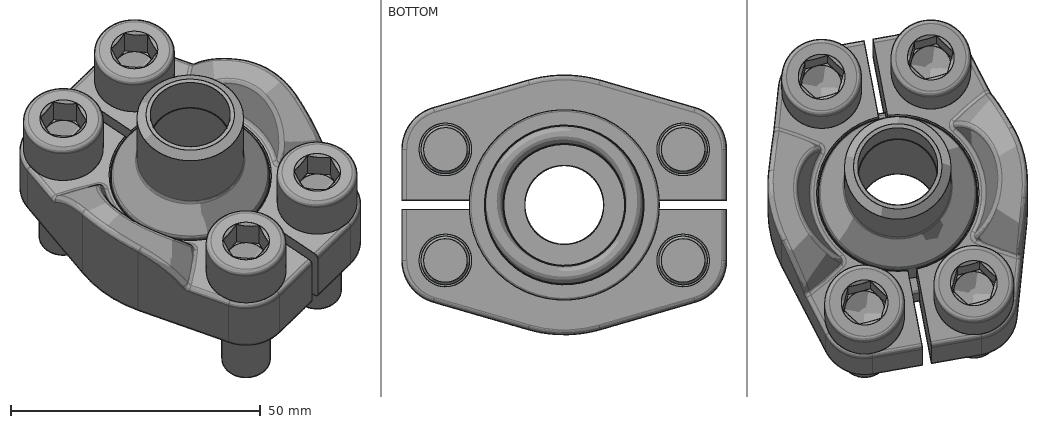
import cadquery as cq
import math

LENGTH = 65.0
DEPTH = 52.0
SPLIT_GAP = 1.8
CLAMP_HEIGHT = 14.0
BOLT_X = 23.8
BOLT_Y = 11.1
EDGE_RADIUS = 1.0
BOLT_HOLE_DIAMETER = 10.5
CLAMP_BORE_DIAMETER = 32.0
BORE_CHAMFER = 0.25

ARCH_PEAK = 22.4
ARCH_SECTIONS = [(11.7, 20.85, 12.1), (18.85, 21.65, 20.5), (DEPTH / 2, ARCH_PEAK, 27.05)]

CLEARANCE_FOOT_RADIUS = 17.5
CLEARANCE_DRAFT = 20.0

HEAD_DIAMETER = 38.1
HEAD_BOTTOM = -0.6
HEAD_TOP = 6.2
HEAD_LOWER_EDGE = 0.3
HEAD_UPPER_EDGE = 0.5
SHOULDER_DIAMETER = 31.6
SHOULDER_TOP = 14.25
NECK_DIAMETER = 21.3
NECK_TOP = 34.4
NECK_BLEND = 1.0
NECK_BORE_DIAMETER = 16.0
LOWER_BORE_DIAMETER = 15.7
UPPER_BORE_DEPTH = 8.45
WELD_BEVEL_WIDTH = 1.8
WELD_BEVEL_HEIGHT = 1.1

GROOVE_INNER_DIAMETER = 24.2
GROOVE_OUTER_DIAMETER = 32.0
SEAL_BOTTOM = -1.7
SEAL_OUTER_DIAMETER = 31.6
SEAL_THICKNESS = 3.5

SHANK_DIAMETER = 9.75
SHANK_LENGTH = 29.95
SHANK_CHAMFER = 0.5
SCREW_HEAD_DIAMETER = 16.0
SCREW_HEAD_HEIGHT = 10.0
SOCKET_WIDTH = 8.0
SOCKET_DEPTH = 6.0
SOCKET_TURN = 5.0
SOCKET_MOUTH_DIAMETER = 9.35
SOCKET_MOUTH_DEPTH = 0.4
SOCKET_POINT_ANGLE = 120.0

TOLERANCE = 0.005


def clamp_outline():
    """Half plan: corner arcs around the bolts, tangent to a central end arc."""
    end_radius = DEPTH / 2
    corner_radius = LENGTH / 2 - BOLT_X
    bolt_reach = math.hypot(BOLT_X, BOLT_Y)
    normal = math.atan2(BOLT_Y, BOLT_X) + math.acos((end_radius - corner_radius) / bolt_reach)
    corner_x = BOLT_X + corner_radius * math.cos(normal)
    corner_y = BOLT_Y + corner_radius * math.sin(normal)
    middle = normal / 2
    corner_middle = (BOLT_X + corner_radius * math.cos(middle), BOLT_Y + corner_radius * math.sin(middle))
    end_x = end_radius * math.cos(normal)
    end_y = end_radius * math.sin(normal)
    return (
        cq.Workplane("XY")
        .moveTo(LENGTH / 2, SPLIT_GAP / 2)
        .lineTo(LENGTH / 2, BOLT_Y)
        .threePointArc(corner_middle, (corner_x, corner_y))
        .lineTo(end_x, end_y)
        .threePointArc((0, end_radius), (-end_x, end_y))
        .lineTo(-corner_x, corner_y)
        .threePointArc((-corner_middle[0], corner_middle[1]), (-LENGTH / 2, BOLT_Y))
        .lineTo(-LENGTH / 2, SPLIT_GAP / 2)
        .close()
    )


def arch_barrel():
    """Barrel along Y lofted smoothly through the circular arch sections."""
    wires = []
    for y, crown, radius in ARCH_SECTIONS:
        section = cq.Workplane("XZ", origin=(0, y, crown - radius)).circle(radius)
        wires.append(section.wires().val())
    return cq.Workplane(cq.Solid.makeLoft(wires))


def neck_clearance():
    """Cone around Z that widens upward from the top of the clamp."""
    height = ARCH_PEAK
    spread = height * math.tan(math.radians(CLEARANCE_DRAFT))
    cone = cq.Solid.makeCone(CLEARANCE_FOOT_RADIUS, CLEARANCE_FOOT_RADIUS + spread, height)
    return cq.Workplane(cone).translate((0, 0, CLAMP_HEIGHT))


def below_clamp_top():
    """Block whose upper face lies in the top face of the clamp."""
    return cq.Workplane("XY").box(2 * LENGTH, 2 * DEPTH, 2 * CLAMP_HEIGHT)


def is_rounded_edge(edge):
    """True for the edges around the foot, the top face and the boss, away from the split face."""
    box = edge.BoundingBox()
    on_split_face = box.ymax < SPLIT_GAP / 2 + TOLERANCE
    at_foot = box.zmax < TOLERANCE
    at_top = box.zmin > CLAMP_HEIGHT - TOLERANCE
    return (at_foot or at_top) and not on_split_face


def clamp_bore():
    """Stepped opening for the neck: head recess, shoulder bore and a chamfered mouth."""
    recess = cq.Workplane("XY").circle(HEAD_DIAMETER / 2).extrude(HEAD_TOP)
    bore = cq.Workplane("XY").circle(CLAMP_BORE_DIAMETER / 2).extrude(CLAMP_HEIGHT)
    mouth_radius = CLAMP_BORE_DIAMETER / 2 + BORE_CHAMFER
    mouth = cq.Solid.makeCone(mouth_radius - BORE_CHAMFER, mouth_radius, BORE_CHAMFER)
    mouth = cq.Workplane(mouth).translate((0, 0, CLAMP_HEIGHT - BORE_CHAMFER))
    return recess.union(bore).union(mouth)


def make_clamp_half():
    """Clamp half on the +Y side of the split."""
    plate = clamp_outline().extrude(CLAMP_HEIGHT)
    boss = (
        clamp_outline()
        .extrude(ARCH_PEAK)
        .intersect(arch_barrel())
        .cut(neck_clearance())
        .cut(below_clamp_top())
    )
    half = plate.union(boss)
    rounded_edges = [edge for edge in half.edges().vals() if is_rounded_edge(edge)]
    half = half.newObject(rounded_edges).fillet(EDGE_RADIUS)
    holes = (
        cq.Workplane("XY")
        .pushPoints([(-BOLT_X, BOLT_Y), (BOLT_X, BOLT_Y)])
        .circle(BOLT_HOLE_DIAMETER / 2)
        .extrude(CLAMP_HEIGHT)
    )
    return half.cut(holes).cut(clamp_bore())


def fillet_circle(body, circle_radius, z, fillet_radius):
    """Round the circular edge of the given radius at the given height."""
    picked = []
    for edge in body.edges("%CIRCLE").vals():
        same_height = abs(edge.Center().z - z) < TOLERANCE
        same_radius = abs(edge.radius() - circle_radius) < TOLERANCE
        if same_height and same_radius:
            picked.append(edge)
    return body.newObject(picked).fillet(fillet_radius)


def make_neck():
    """Flanged weld neck turned about Z, with a two-step bore and a face groove for the seal."""
    shoulder_radius = SHOULDER_DIAMETER / 2
    neck_radius = NECK_DIAMETER / 2
    cone_top = SHOULDER_TOP + shoulder_radius - neck_radius
    body = (
        cq.Workplane("XZ")
        .moveTo(0, HEAD_BOTTOM)
        .lineTo(HEAD_DIAMETER / 2, HEAD_BOTTOM)
        .lineTo(HEAD_DIAMETER / 2, HEAD_TOP)
        .lineTo(shoulder_radius, HEAD_TOP)
        .lineTo(shoulder_radius, SHOULDER_TOP)
        .lineTo(neck_radius, cone_top)
        .lineTo(neck_radius, NECK_TOP - WELD_BEVEL_HEIGHT)
        .lineTo(neck_radius - WELD_BEVEL_WIDTH, NECK_TOP)
        .lineTo(0, NECK_TOP)
        .close()
        .revolve(360, (0, 0, 0), (0, 1, 0))
    )
    body = fillet_circle(body, HEAD_DIAMETER / 2, HEAD_BOTTOM, HEAD_LOWER_EDGE)
    body = fillet_circle(body, HEAD_DIAMETER / 2, HEAD_TOP, HEAD_UPPER_EDGE)
    body = fillet_circle(body, shoulder_radius, SHOULDER_TOP, NECK_BLEND)
    body = fillet_circle(body, neck_radius, cone_top, NECK_BLEND)
    lower_bore = cq.Workplane("XY", origin=(0, 0, HEAD_BOTTOM)).circle(LOWER_BORE_DIAMETER / 2)
    upper_bore = cq.Workplane("XY", origin=(0, 0, NECK_TOP)).circle(NECK_BORE_DIAMETER / 2)
    groove = (
        cq.Workplane("XY", origin=(0, 0, HEAD_BOTTOM))
        .circle(GROOVE_OUTER_DIAMETER / 2)
        .circle(GROOVE_INNER_DIAMETER / 2)
        .extrude(SEAL_BOTTOM + SEAL_THICKNESS - HEAD_BOTTOM)
    )
    return (
        body.cut(lower_bore.extrude(NECK_TOP - HEAD_BOTTOM))
        .cut(upper_bore.extrude(-UPPER_BORE_DEPTH))
        .cut(groove)
    )


def make_seal_ring():
    """Round-section ring whose upper side touches the bottom of the groove."""
    section_radius = SEAL_THICKNESS / 2
    ring = cq.Solid.makeTorus(SEAL_OUTER_DIAMETER / 2 - section_radius, section_radius)
    return cq.Workplane(ring).translate((0, 0, SEAL_BOTTOM + section_radius))


def make_screw():
    """Socket head cap screw with the underside of its head at z = 0."""
    shank = cq.Workplane("XY").circle(SHANK_DIAMETER / 2).extrude(-SHANK_LENGTH)
    shank = shank.faces("<Z").chamfer(SHANK_CHAMFER)
    head = cq.Workplane("XY").circle(SCREW_HEAD_DIAMETER / 2).extrude(SCREW_HEAD_HEIGHT)
    head = head.faces(">Z").edges().fillet(EDGE_RADIUS)
    socket = (
        cq.Workplane("XY", origin=(0, 0, SCREW_HEAD_HEIGHT))
        .transformed(rotate=(0, 0, SOCKET_TURN))
        .polygon(6, SOCKET_WIDTH, circumscribed=True)
        .extrude(-SOCKET_DEPTH)
    )
    point_depth = SOCKET_WIDTH / 2 / math.tan(math.radians(SOCKET_POINT_ANGLE / 2))
    point = cq.Solid.makeCone(0, SOCKET_WIDTH / 2, point_depth)
    point = cq.Workplane(point).translate((0, 0, SCREW_HEAD_HEIGHT - SOCKET_DEPTH - point_depth))
    mouth = cq.Solid.makeCone(SOCKET_WIDTH / 2, SOCKET_MOUTH_DIAMETER / 2, SOCKET_MOUTH_DEPTH)
    mouth = cq.Workplane(mouth).translate((0, 0, SCREW_HEAD_HEIGHT - SOCKET_MOUTH_DEPTH))
    return shank.union(head).cut(socket).cut(point).cut(mouth)


clamp_halves = []
for angle in (0, 180):
    half = make_clamp_half().rotate((0, 0, 0), (0, 0, 1), angle)
    clamp_halves.append(half.val())

screws = []
for x in (-BOLT_X, BOLT_X):
    for y in (-BOLT_Y, BOLT_Y):
        screws.append(make_screw().translate((x, y, CLAMP_HEIGHT)).val())

neck = make_neck()
seal_ring = make_seal_ring()

result = cq.Compound.makeCompound([*clamp_halves, neck.val(), seal_ring.val(), *screws])